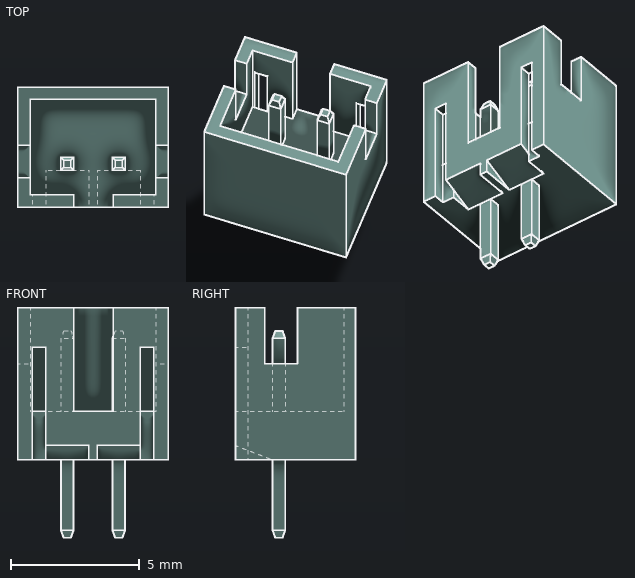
import cadquery as cq

body_length = 5.86
body_depth = 4.67
body_height = 5.91
wall = 0.49
back_wall = 0.47
floor_top = 1.88
front_y = -1.69

key_slot_width = 1.54
key_slot_center_x = 0.015

end_notch_bottom = 3.73
end_notch_width = 1.26
end_notch_setback = 1.145
end_notch_start_y = front_y + end_notch_setback

front_slot_inner_x = 1.835
front_slot_width = 0.52
front_slot_top = 4.37

pin_pitch = 2.0
pin_size = 0.5
pin_tip_size = 0.29
pin_taper = 0.3
pin_top = 5.01
pin_bottom = -3.03

relief_height = 0.56
relief_depth = -pin_size / 2 - front_y
rib_width = 0.32
relief_width = front_slot_inner_x - rib_width / 2


def box(x_start, y_start, z_start, x_size, y_size, z_size):
    """Box given by its lowest corner and its sizes."""
    corner = (x_start, y_start, z_start)
    return cq.Workplane("XY").box(x_size, y_size, z_size, centered=False).translate(corner)


def make_shell():
    outer = box(-body_length / 2, front_y, 0, body_length, body_depth, body_height)
    cavity = box(
        wall - body_length / 2,
        front_y + wall,
        floor_top,
        body_length - 2 * wall,
        body_depth - wall - back_wall,
        body_height - floor_top,
    )
    return outer.cut(cavity)


def make_key_slot():
    start_x = key_slot_center_x - key_slot_width / 2
    return box(start_x, front_y, floor_top, key_slot_width, wall, body_height - floor_top)


def make_end_notches():
    return box(
        -body_length / 2,
        end_notch_start_y,
        end_notch_bottom,
        body_length,
        end_notch_width,
        body_height - end_notch_bottom,
    )


def make_front_slot():
    """Front slot on the +X side, as deep as the wall is thick."""
    return box(front_slot_inner_x, front_y, 0, front_slot_width, wall, front_slot_top)


def make_relief():
    """Relief wedge on the +X side, running from the rib to the front slot."""
    return (
        cq.Workplane("YZ", origin=(rib_width / 2, 0, 0))
        .moveTo(front_y, 0)
        .lineTo(front_y + relief_depth, 0)
        .lineTo(front_y, relief_height)
        .close()
        .extrude(relief_width)
    )


def make_taper(shoulder_z, tip_z):
    return (
        cq.Workplane("XY", origin=(0, 0, shoulder_z))
        .rect(pin_size, pin_size)
        .workplane(offset=tip_z - shoulder_z)
        .rect(pin_tip_size, pin_tip_size)
        .loft(ruled=True)
    )


def make_pin():
    upper_shoulder = pin_top - pin_taper
    lower_shoulder = pin_bottom + pin_taper
    shank_length = upper_shoulder - lower_shoulder
    shank = box(-pin_size / 2, -pin_size / 2, lower_shoulder, pin_size, pin_size, shank_length)
    upper_tip = make_taper(upper_shoulder, pin_top)
    lower_tip = make_taper(lower_shoulder, pin_bottom)
    return shank.union(upper_tip).union(lower_tip)


housing = make_shell().cut(make_key_slot()).cut(make_end_notches())
for side_cut in (make_front_slot(), make_relief()):
    housing = housing.cut(side_cut).cut(side_cut.mirror("YZ"))

result = housing
for pin_x in (-pin_pitch / 2, pin_pitch / 2):
    result = result.union(make_pin().translate((pin_x, 0, 0)))